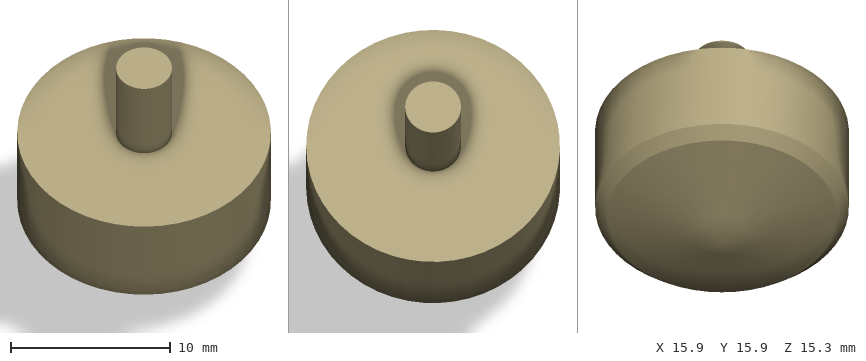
import cadquery as cq

body_diameter = 15.88
pin_diameter = 3.5
total_height = 15.3
pin_length = 6.0
chamfer_size = 0.73
cone_height = 2.2

body_radius = body_diameter / 2
pin_radius = pin_diameter / 2
cone_radius = body_radius - chamfer_size
bevel_top = cone_height + chamfer_size
body_top = total_height - pin_length

half_profile = (
    cq.Workplane("XZ")
    .moveTo(0, 0)
    .lineTo(cone_radius, cone_height)
    .lineTo(body_radius, bevel_top)
    .lineTo(body_radius, body_top)
    .lineTo(pin_radius, body_top)
    .lineTo(pin_radius, total_height)
    .lineTo(0, total_height)
    .close()
)

result = half_profile.revolve(360, (0, 0, 0), (0, 1, 0))